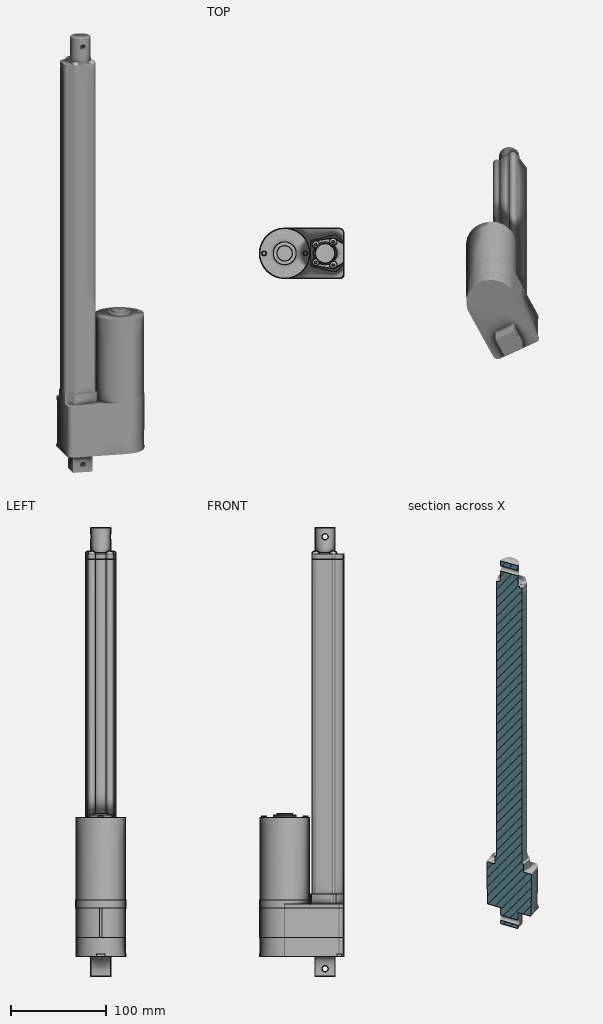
import cadquery as cq
import math


total_height = 468.0
gearbox_bottom = 20.5
cover_top = 40.2
gearbox_top = 71.0
plate_top = 75.5
motor_seat_top = 79.5
collar_top = 85.5
motor_top = 165.5
tube_top = 434.0
cap_bottom = 435.0
cap_top = 440.2

motor_radius = 52.0 / 2
flange_radius = 52.5 / 2
gearbox_end_x = 61.8
gearbox_corner_radius = 5.0
shell_inset = 0.25
cover_inset = 0.5
end_cap_diameter = 24.0
end_cap_height = 2.5
bearing_diameter = 16.0
bearing_height = 4.0
motor_screw_diameter = 5.0
motor_screw_height = 1.5
motor_screw_socket = 4.0
motor_screw_offset = 21.5
rib_width = 2.5
tab_width = 9.5
tab_height = 3.0
pad_length = 7.0
pad_chamfer = 2.5

rod_x = 42.0
rod_diameter = 21.0
rod_chamfer = 0.5
wiper_diameter = 24.0
wiper_height = 1.5
clevis_width = 21.0
pin_diameter = 6.0
clevis_pin_height = 8.0
rod_pin_inset = 10.0

boss_radius = 4.0
narrow_boss = (32.5, 9.5)
wide_boss = (50.5, 12.0)
bore_wall_radius = 12.4
joint_depth = 0.5
nose_chamfer = 1.5
nose_half_width = 10.8

collar_half = [(26.5, 11.0), (28.0, 13.5), (51.0, 19.0), (53.5, 19.0), (60.0, 13.0), (gearbox_end_x, 12.0)]

head_base_radius = 8.0 / 2
head_mid_radius = 7.0 / 2
head_height = 3.0
socket_diameter = 2.5
socket_depth = 2.0


def cylinder(x, y, bottom, top, diameter):
    return cq.Workplane("XY", origin=(x, y, bottom)).circle(diameter / 2).extrude(top - bottom)


def block(x_range, y_range, z_range):
    size = [end - start for start, end in (x_range, y_range, z_range)]
    corner = (x_range[0], y_range[0], z_range[0])
    return cq.Workplane("XY").box(*size, centered=False).translate(corner)


def mirrored_prism(half_outline, bottom, top):
    """Prism whose outline is symmetric about Y = 0."""
    other_half = [(x, -y) for x, y in reversed(half_outline)]
    outline = cq.Workplane("XY", origin=(0, 0, bottom)).polyline(half_outline + other_half)
    return outline.close().extrude(top - bottom)


def housing(bottom, top, inset):
    """Gearbox layer: round around the motor, square with rounded corners at the rod end."""
    radius = flange_radius - inset
    layer = (
        cq.Workplane("XY", origin=(0, 0, bottom))
        .moveTo(0, -radius)
        .lineTo(gearbox_end_x, -radius)
        .lineTo(gearbox_end_x, radius)
        .lineTo(0, radius)
        .threePointArc((-radius, 0), (0, -radius))
        .close()
        .extrude(top - bottom)
    )
    return layer.edges("|Z and >X").fillet(gearbox_corner_radius)


def tangent_point(center, radius, target):
    """Point where the upper tangent line from the target touches the circle."""
    reach_x = target[0] - center[0]
    reach_y = target[1] - center[1]
    angle = math.atan2(reach_y, reach_x) + math.acos(radius / math.hypot(reach_x, reach_y))
    return (center[0] + radius * math.cos(angle), center[1] + radius * math.sin(angle))


def tube_section(bottom, top, inset):
    """Length of tube profile, with the whole profile shrunk by the inset."""
    radius = boss_radius - inset
    slope = math.atan2(wide_boss[1] - narrow_boss[1], wide_boss[0] - narrow_boss[0])

    tangents = [
        (x - radius * math.sin(slope), y + radius * math.cos(slope))
        for x, y in (narrow_boss, wide_boss)
    ]
    end_x = gearbox_end_x - inset
    shoulder = (end_x - nose_chamfer, nose_half_width - inset)
    nose = [
        tangent_point(wide_boss, radius, shoulder),
        shoulder,
        (end_x, shoulder[1] - nose_chamfer),
    ]
    section = mirrored_prism([narrow_boss] + tangents + [wide_boss] + nose, bottom, top)
    section = section.union(cylinder(rod_x, 0, bottom, top, 2 * (bore_wall_radius - inset)))
    for x, y in (narrow_boss, wide_boss):
        for side in (-1, 1):
            section = section.union(cylinder(x, side * y, bottom, top, 2 * radius))
    return section


def button_head(x, y):
    """Domed screw head with a round socket."""
    socket_radius = socket_diameter / 2
    floor = head_height - socket_depth
    head = (
        cq.Workplane("XZ")
        .lineTo(head_base_radius, 0)
        .threePointArc((head_mid_radius, head_height / 2), (socket_radius, head_height))
        .lineTo(socket_radius, floor)
        .lineTo(0, floor)
        .close()
        .revolve(360, (0, 0, 0), (0, 1, 0))
    )
    return head.translate((x, y, cap_top))


def pin_hole(z):
    length = 2 * clevis_width
    start = cq.Workplane("XZ", origin=(rod_x, length / 2, z))
    return start.circle(pin_diameter / 2).extrude(length)


gearbox = (
    housing(gearbox_bottom, cover_top, cover_inset)
    .union(housing(cover_top, gearbox_top, shell_inset))
    .union(housing(gearbox_top, plate_top, 0))
    .union(cylinder(0, 0, plate_top, motor_seat_top, 2 * flange_radius))
)

rib = block((-flange_radius, 0), (-rib_width / 2, rib_width / 2), (cover_top, gearbox_top))
tab_heights = (gearbox_bottom, gearbox_bottom + tab_height)
tab = block((-flange_radius, 0), (-tab_width / 2, tab_width / 2), tab_heights)
pad = block(
    (gearbox_end_x - pad_length, gearbox_end_x),
    (-flange_radius, pad_length - flange_radius),
    tab_heights,
)
pad = pad.edges("|Z and >X and <Y").chamfer(pad_chamfer)
gearbox = gearbox.union(rib).union(tab).union(pad)

motor = (
    cylinder(0, 0, plate_top, motor_top, 2 * motor_radius)
    .union(cylinder(0, 0, motor_top, motor_top + end_cap_height, end_cap_diameter))
    .union(cylinder(0, 0, motor_top, motor_top + bearing_height, bearing_diameter))
)
for x in (-motor_screw_offset, motor_screw_offset):
    screw_top = motor_top + motor_screw_height
    screw = cylinder(x, 0, motor_top, screw_top, motor_screw_diameter)
    motor = motor.union(screw.cut(cylinder(x, 0, motor_top, screw_top, motor_screw_socket)))

tube = (
    mirrored_prism(collar_half, plate_top, collar_top)
    .union(tube_section(collar_top, tube_top, 0))
    .union(tube_section(tube_top, cap_bottom, joint_depth))
    .union(tube_section(cap_bottom, cap_top, 0))
    .union(cylinder(rod_x, 0, cap_top, cap_top + wiper_height, wiper_diameter))
)
for x, y in (narrow_boss, wide_boss):
    for side in (-1, 1):
        tube = tube.union(button_head(x, side * y))

rod = cylinder(rod_x, 0, cap_top, total_height, rod_diameter).faces(">Z").chamfer(rod_chamfer)
clevis = block(
    (rod_x - clevis_width / 2, rod_x + clevis_width / 2),
    (-clevis_width / 2, clevis_width / 2),
    (0, gearbox_bottom),
)

result = gearbox.union(motor).union(tube).union(rod).union(clevis)
for z in (clevis_pin_height, total_height - rod_pin_inset):
    result = result.cut(pin_hole(z))